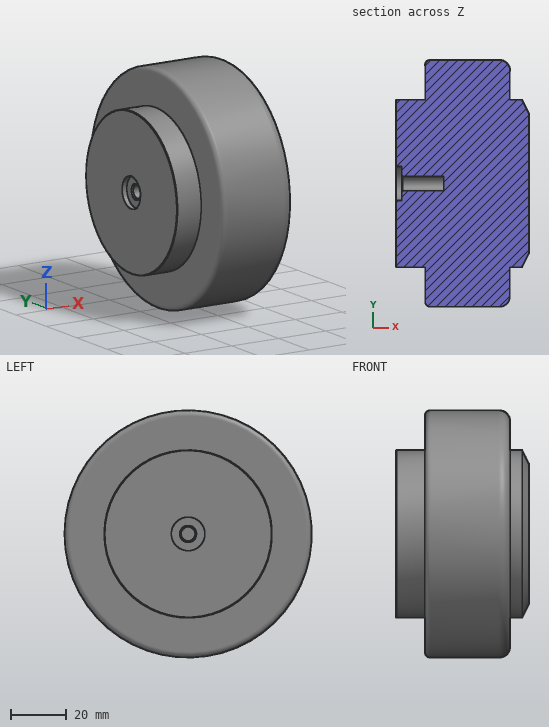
import cadquery as cq

total_length = 47.5

rim_diameter = 88.4
rim_start = 10.3
rim_width = 30.5
rim_front_fillet = 2.0
rim_back_fillet = 4.0

hub_diameter = 60.0
hub_front_chamfer = 0.25
hub_back_bevel_length = 2.5
hub_back_bevel_depth = 5.0

recess_diameter = 12.0
recess_depth = 2.0
bore_diameter = 5.0
bore_depth = 15.0
bore_chamfer = 0.5


def cylinder(start, length, diameter):
    """Solid cylinder on the X axis, running from start toward +X."""
    return cq.Workplane("YZ", origin=(start, 0, 0)).circle(diameter / 2).extrude(length)


def make_hub():
    hub = cylinder(0, total_length, hub_diameter)
    hub = hub.faces("<X").chamfer(hub_front_chamfer)

    radius = hub_diameter / 2
    bevel_cutter = (
        cq.Workplane("XY")
        .moveTo(total_length - hub_back_bevel_length, radius)
        .lineTo(total_length, radius - hub_back_bevel_depth)
        .lineTo(total_length, radius)
        .close()
        .revolve(360, (0, 0, 0), (1, 0, 0))
    )
    return hub.cut(bevel_cutter)


def make_rim():
    rim = cylinder(rim_start, rim_width, rim_diameter)
    rim = rim.faces("<X").edges().fillet(rim_front_fillet)
    return rim.faces(">X").edges().fillet(rim_back_fillet)


def make_front_hole():
    recess = cylinder(0, recess_depth, recess_diameter)
    bore = cylinder(recess_depth, bore_depth, bore_diameter)
    mouth = (
        cq.Workplane("YZ", origin=(recess_depth, 0, 0))
        .circle(bore_diameter / 2 + bore_chamfer)
        .workplane(offset=bore_chamfer)
        .circle(bore_diameter / 2)
        .loft()
    )
    return recess.union(bore).union(mouth)


result = make_hub().union(make_rim()).cut(make_front_hole())